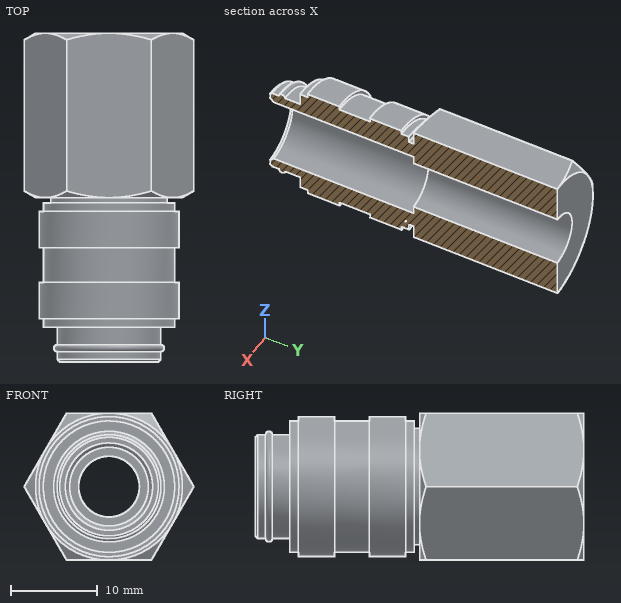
import cadquery as cq
import math

NUT_ACROSS_FLATS = 17.0
NUT_ACROSS_CORNERS = NUT_ACROSS_FLATS / math.cos(math.radians(30))
NUT_LENGTH = 19.0
NUT_CHAMFER_ANGLE = 30.0

NECK_DIAMETER = 13.5
NECK_LENGTH = 0.6

SLEEVE_DIAMETER = 15.2
BAND_DIAMETER = 16.2
BAND_LENGTH = 4.2
BAND_GAP = 4.0
SLEEVE_MARGIN = 1.0
SLEEVE_LENGTH = 2 * SLEEVE_MARGIN + 2 * BAND_LENGTH + BAND_GAP

NOSE_DIAMETER = 12.0
NOSE_LENGTH = 4.0
NOSE_CHAMFER = 0.3
BEAD_RADIUS = 0.4
BEAD_SETBACK = 1.6

THROUGH_DIAMETER = 7.0
SOCKET_DIAMETER = 9.1
MOUTH_DIAMETER = 10.1
MOUTH_CHAMFER = (MOUTH_DIAMETER - SOCKET_DIAMETER) / 2

SLEEVE_FRONT = NOSE_LENGTH
SLEEVE_BACK = SLEEVE_FRONT + SLEEVE_LENGTH
NUT_FRONT = SLEEVE_BACK + NECK_LENGTH
TOTAL_LENGTH = NUT_FRONT + NUT_LENGTH
SOCKET_DEPTH = NUT_FRONT


def revolve_profile(points):
    """Revolve a closed (radius, y) outline about the Y axis."""
    return cq.Workplane("XY").polyline(points).close().revolve(360, (0, 0), (0, 1))


def cylinder(diameter, y_start, length):
    """Cylinder on the Y axis running from y_start toward +Y."""
    circle = cq.Workplane("XZ", origin=(0, y_start, 0)).circle(diameter / 2)
    return circle.extrude(-length)


def make_nut():
    """Hexagonal prism with its corners coned off at both ends."""
    prism = (
        cq.Workplane("XZ", origin=(0, NUT_FRONT, 0))
        .polygon(6, NUT_ACROSS_CORNERS)
        .extrude(-NUT_LENGTH)
    )
    face_radius = NUT_ACROSS_FLATS / 2
    outer_radius = NUT_ACROSS_CORNERS
    drop = (outer_radius - face_radius) * math.tan(math.radians(NUT_CHAMFER_ANGLE))
    envelope = revolve_profile([
        (0, NUT_FRONT),
        (face_radius, NUT_FRONT),
        (outer_radius, NUT_FRONT + drop),
        (outer_radius, TOTAL_LENGTH - drop),
        (face_radius, TOTAL_LENGTH),
        (0, TOTAL_LENGTH),
    ])
    return prism.intersect(envelope)


def make_sleeve():
    """Plain sleeve carrying the two raised bands."""
    sleeve = cylinder(SLEEVE_DIAMETER, SLEEVE_FRONT, SLEEVE_LENGTH)
    for index in range(2):
        band_start = SLEEVE_FRONT + SLEEVE_MARGIN + index * (BAND_LENGTH + BAND_GAP)
        sleeve = sleeve.union(cylinder(BAND_DIAMETER, band_start, BAND_LENGTH))
    return sleeve


def make_nose():
    """Nose with a chamfered front edge and a half-round bead."""
    nose = cylinder(NOSE_DIAMETER, 0, NOSE_LENGTH).faces("<Y").chamfer(NOSE_CHAMFER)
    bead = (
        cq.Workplane("XY")
        .center(NOSE_DIAMETER / 2, BEAD_SETBACK)
        .circle(BEAD_RADIUS)
        .revolve(360, (-NOSE_DIAMETER / 2, 0), (-NOSE_DIAMETER / 2, 1))
    )
    return nose.union(bead)


def make_bore():
    """Through hole opening into a wider socket with a chamfered mouth."""
    return revolve_profile([
        (0, 0),
        (MOUTH_DIAMETER / 2, 0),
        (SOCKET_DIAMETER / 2, MOUTH_CHAMFER),
        (SOCKET_DIAMETER / 2, SOCKET_DEPTH),
        (THROUGH_DIAMETER / 2, SOCKET_DEPTH),
        (THROUGH_DIAMETER / 2, TOTAL_LENGTH),
        (0, TOTAL_LENGTH),
    ])


neck = cylinder(NECK_DIAMETER, SLEEVE_BACK, NECK_LENGTH)
body = make_nut().union(neck).union(make_sleeve()).union(make_nose())
result = body.cut(make_bore())